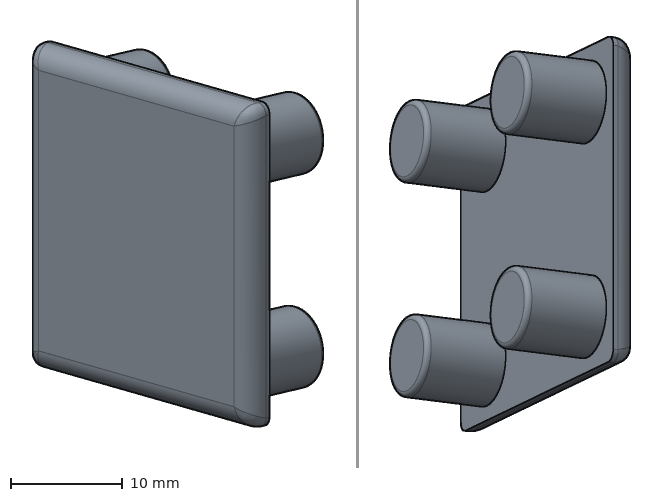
import cadquery as cq

plate_side = 30.0
total_depth = 10.5
plate_thickness = 2.5
corner_radius = 1.0
front_edge_radius = 2.0

peg_diameter = 7.5
peg_spacing = 19.8
peg_tip_radius = 0.5
peg_length = total_depth - plate_thickness


def make_plate():
    """Plate with its back on Y = 0 and a rounded front rim."""
    return (
        cq.Workplane("XY")
        .box(plate_side, plate_thickness, plate_side, centered=(True, False, True))
        .translate((0, -plate_thickness, 0))
        .edges("|Y")
        .fillet(corner_radius)
        .faces("<Y")
        .edges()
        .fillet(front_edge_radius)
    )


def make_pegs():
    """Pegs at the corners of a square, pointing toward +Y with rounded tips."""
    return (
        cq.Workplane("XZ")
        .rect(peg_spacing, peg_spacing, forConstruction=True)
        .vertices()
        .circle(peg_diameter / 2)
        .extrude(-peg_length)
        .faces(">Y")
        .edges()
        .fillet(peg_tip_radius)
    )


result = make_plate().union(make_pegs())